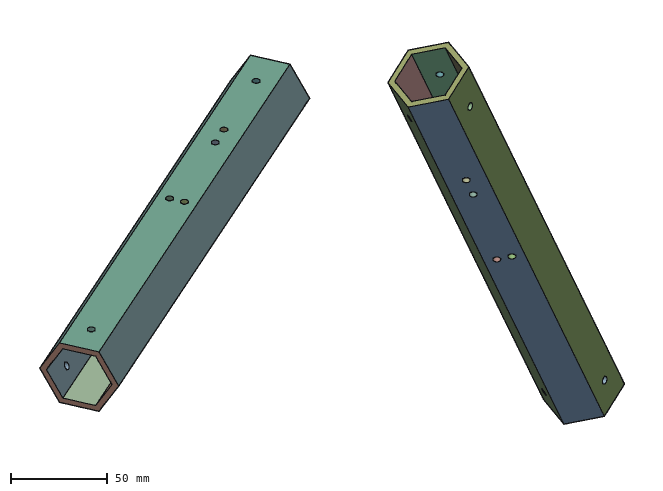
import cadquery as cq
import math

length = 273.0
across_corners = 44.0
across_flats = across_corners * math.cos(math.radians(30))
wall = 3.3

hole_diameter = 4.0
end_hole_distances = (20.2, 255.8)
end_hole_face_angles = (0, 120, 240)
lengthwise_pair_distances = (66.3, 78.5)
crosswise_pair_distance = 133.2
crosswise_pair_spacing = 8.2


def hexagonal_bar(flat_to_flat):
    """Bar along Y with flats facing up and down and corners on the X axis."""
    corner_diameter = flat_to_flat / math.cos(math.radians(30))
    return (
        cq.Workplane("XZ")
        .polygon(6, corner_diameter)
        .extrude(length / 2, both=True)
    )


def vertical_drill(x, distance, z_start, depth):
    """Upright cylinder at the given distance from the +Y end."""
    return (
        cq.Workplane("XY", origin=(x, length / 2 - distance, z_start))
        .circle(hole_diameter / 2)
        .extrude(depth)
    )


tube = hexagonal_bar(across_flats).cut(hexagonal_bar(across_flats - 2 * wall))

for distance in end_hole_distances:
    for angle in end_hole_face_angles:
        drill = vertical_drill(0, distance, across_flats / 4, across_flats / 2)
        tube = tube.cut(drill.rotate((0, 0, 0), (0, 1, 0), angle))

through_holes = [(0, distance) for distance in lengthwise_pair_distances]
through_holes += [(side * crosswise_pair_spacing / 2, crosswise_pair_distance) for side in (-1, 1)]
for x, distance in through_holes:
    tube = tube.cut(vertical_drill(x, distance, -across_flats, 2 * across_flats))

result = tube